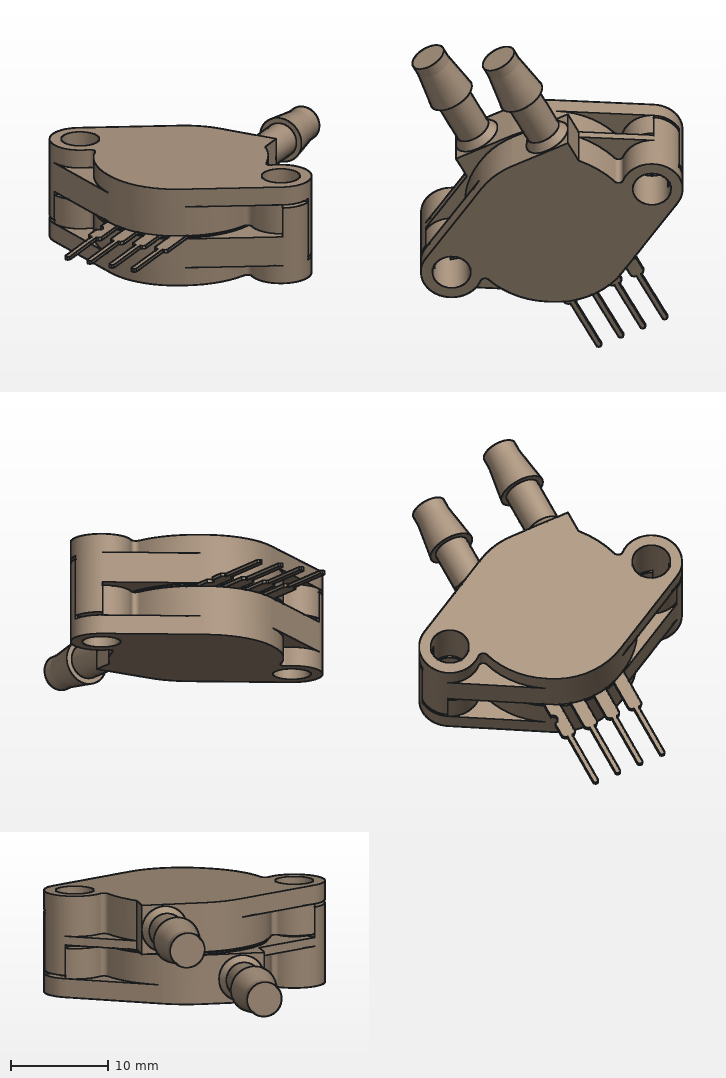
import cadquery as cq
import math


EAR_X = 11.55
EAR_RADIUS = 3.17
HOLE_RADIUS = 1.97
FLANK_ANGLE = 30.0
CROWN_RADIUS = 8.1
NECK_FILLET = 0.5

HEIGHT = 10.67
GAP = 0.35
FLANGE_THICKNESS = 1.97
WEB_THICKNESS = 0.93
SEAM_DISC_RADIUS = 8.65

PORT_X = 4.05
PORT_BLOCK_X = 6.45
BLOCK_WALL_RADIUS = 10.83
PORT_RADIUS = 1.8
PORT_FOOT_RADIUS = 2.4
PORT_BARB_RADIUS = 2.4
PORT_FOOT_LENGTH = 0.9
PORT_BARB_START = 5.8
PORT_BARB_END = 9.95
PORT_LENGTH = 11.1

PIN_PITCH = 2.54
PIN_COUNT = 4
PIN_WIDTH = 1.47
PIN_TIP_WIDTH = 0.55
PIN_INNER_Y = -6.2
PIN_SHOULDER_Y = -12.0
PIN_NECK_Y = -12.25
PIN_TIP_Y = -18.5
PIN_SHOULDER_CHAMFER = 0.27
PIN_TIP_CHAMFER = 0.15
PIN_NOTCH_Y = -9.8
PIN_NOTCH_RADIUS = 0.5

flank_normal = (math.sin(math.radians(FLANK_ANGLE)), math.cos(math.radians(FLANK_ANGLE)))
core_radius = EAR_X * flank_normal[0] + EAR_RADIUS
crown_centre_y = (core_radius - CROWN_RADIUS) / flank_normal[1]
crown_y = crown_centre_y + CROWN_RADIUS
half_top = HEIGHT / 2
half_bottom = GAP / 2
half_height = half_top - half_bottom
ledge_z = half_top - FLANGE_THICKNESS
wedge_tip_z = GAP - ledge_z
port_z = (half_top + half_bottom) / 2
pin_positions = [(i - (PIN_COUNT - 1) / 2) * PIN_PITCH for i in range(PIN_COUNT)]


def along(start, direction, distance):
    """Point at a distance from a start point along a unit direction."""
    return (start[0] + distance * direction[0], start[1] + distance * direction[1])


def between(start, end, distance):
    """Point at a distance from start on the line towards end."""
    share = distance / math.dist(start, end)
    return (start[0] + share * (end[0] - start[0]), start[1] + share * (end[1] - start[1]))


def middle(start, end):
    """Point halfway between two points."""
    return ((start[0] + end[0]) / 2, (start[1] + end[1]) / 2)


ear_corner = along((EAR_X, 0), flank_normal, EAR_RADIUS)
crown_corner = along((0, crown_centre_y), flank_normal, CROWN_RADIUS)
core_corner = along((0, 0), flank_normal, core_radius)
block_corner = (PORT_BLOCK_X, (core_radius - PORT_BLOCK_X * flank_normal[0]) / flank_normal[1])


def plate():
    """Outline without the ears: two crowns joined by straight flanks to the ear corners."""
    ear_x, ear_y = ear_corner
    crown_x, crown_corner_y = crown_corner
    return (
        cq.Workplane("XY", origin=(0, 0, half_bottom))
        .moveTo(ear_x, -ear_y)
        .lineTo(ear_x, ear_y)
        .lineTo(crown_x, crown_corner_y)
        .threePointArc((0, crown_y), (-crown_x, crown_corner_y))
        .lineTo(-ear_x, ear_y)
        .lineTo(-ear_x, -ear_y)
        .lineTo(-crown_x, -crown_corner_y)
        .threePointArc((0, -crown_y), (crown_x, -crown_corner_y))
        .close()
        .extrude(half_height)
    )


def circle_meeting(first, first_radius, second, second_radius):
    """Point where two circles cross, on the left of the line from the first centre to the second."""
    distance = math.dist(first, second)
    forward = (first_radius**2 - second_radius**2 + distance**2) / (2 * distance)
    sideways = math.sqrt(first_radius**2 - forward**2)
    along_x = (second[0] - first[0]) / distance
    along_y = (second[1] - first[1]) / distance
    return (
        first[0] + forward * along_x - sideways * along_y,
        first[1] + forward * along_y + sideways * along_x,
    )


def pocket(x_side, y_side, z_from, z_to, wall_start, wall_radius):
    """Cutter for the pocket beside an ear, in one quadrant; the ear itself is added later.

    Its curved wall runs from a point on the flank to the neck, with a fillet towards the ear.
    """
    ear_centre = (EAR_X, 0)
    neck = circle_meeting((0, 0), core_radius, ear_centre, EAR_RADIUS)
    wall_centre = circle_meeting(neck, wall_radius, wall_start, wall_radius)
    ear_reach = EAR_RADIUS + NECK_FILLET
    fillet = circle_meeting(wall_centre, wall_radius + NECK_FILLET, ear_centre, ear_reach)

    wall_end = between(wall_centre, fillet, wall_radius)
    wall_middle = between(wall_centre, middle(wall_start, wall_end), wall_radius)
    ear_start = between(ear_centre, fillet, EAR_RADIUS)
    fillet_middle = between(fillet, middle(wall_end, ear_start), NECK_FILLET)

    def placed(point):
        return (x_side * point[0], y_side * point[1])

    return (
        cq.Workplane("XY", origin=(0, 0, z_from))
        .moveTo(*placed(wall_start))
        .threePointArc(placed(wall_middle), placed(wall_end))
        .threePointArc(placed(fillet_middle), placed(ear_start))
        .lineTo(*placed(ear_centre))
        .lineTo(*placed(along(ear_centre, flank_normal, ear_reach)))
        .lineTo(*placed(along(wall_start, flank_normal, NECK_FILLET)))
        .close()
        .extrude(z_to - z_from)
    )


def ear_wedge(x_side, y_side, z_from, z_to):
    """Wedge from the ear centre, between its outermost point and its flank corner."""
    reach = 2 * EAR_RADIUS
    flank_end = along((EAR_X, 0), flank_normal, reach)
    return (
        cq.Workplane("XY", origin=(0, 0, z_from))
        .polyline([
            (x_side * EAR_X, 0),
            (x_side * (EAR_X + reach), 0),
            (x_side * flank_end[0], y_side * flank_end[1]),
        ])
        .close()
        .extrude(z_to - z_from)
    )


def ear(side):
    """Ear of one half, with one wedge of it reaching into the other half."""
    blank = (
        cq.Workplane("XY", origin=(side * EAR_X, 0, wedge_tip_z))
        .circle(EAR_RADIUS)
        .extrude(half_top - wedge_tip_z)
    )
    surplus = (
        cq.Workplane("XY", origin=(side * EAR_X, 0, wedge_tip_z))
        .circle(2 * EAR_RADIUS)
        .extrude(half_bottom - wedge_tip_z)
        .cut(ear_wedge(side, side, wedge_tip_z, half_bottom))
    )
    return blank.cut(surplus)


def port():
    """Solid hose port with a conical foot and a barb, standing on the block face."""
    return (
        cq.Workplane("YZ", origin=(PORT_X, crown_y, port_z))
        .polyline([
            (0, 0),
            (0, PORT_FOOT_RADIUS),
            (PORT_FOOT_LENGTH, PORT_RADIUS),
            (PORT_BARB_START, PORT_RADIUS),
            (PORT_BARB_START, PORT_BARB_RADIUS),
            (PORT_BARB_END, PORT_RADIUS),
            (PORT_LENGTH, PORT_RADIUS),
            (PORT_LENGTH, 0),
        ])
        .close()
        .revolve(360, (0, 0), (1, 0))
    )


def housing_half():
    """Upper half; the lower one is the same shape turned half a turn about Y."""
    half = plate()

    half = half.cut(pocket(-1, -1, ledge_z, half_top, core_corner, core_radius))
    half = half.cut(pocket(1, -1, half_bottom, ledge_z, core_corner, core_radius))
    half = half.cut(pocket(-1, 1, half_bottom, ledge_z, core_corner, core_radius))
    web_top = half_bottom + WEB_THICKNESS
    half = half.cut(pocket(1, 1, web_top, half_top, block_corner, BLOCK_WALL_RADIUS))

    for side in (-1, 1):
        half = half.union(ear(side))
        half = half.cut(ear_wedge(side, -side, half_bottom, ledge_z))
    holes = cq.Workplane("XY", origin=(0, 0, -half_top)).pushPoints([(-EAR_X, 0), (EAR_X, 0)])
    half = half.cut(holes.circle(HOLE_RADIUS).extrude(HEIGHT))

    block = cq.Workplane("XY", origin=(0, 0, half_bottom)).rect(PORT_BLOCK_X, crown_y, centered=False)
    half = half.union(block.extrude(half_height))
    half = half.union(port())

    half = half.union(cq.Workplane("XY").circle(SEAM_DISC_RADIUS).extrude(half_bottom))
    seat_length = PIN_INNER_Y + crown_y
    for x in pin_positions:
        seat = cq.Workplane("XY").center(x, PIN_INNER_Y - seat_length / 2).rect(PIN_WIDTH, seat_length)
        half = half.cut(seat.extrude(half_bottom))
    return half


def pin(x):
    """Flat lead pin: wide blade, chamfered shoulders and a narrow pointed tip."""
    blade = PIN_WIDTH / 2
    tip = PIN_TIP_WIDTH / 2
    right_side = [
        (blade, PIN_INNER_Y),
        (blade, PIN_SHOULDER_Y),
        (blade - PIN_SHOULDER_CHAMFER, PIN_NECK_Y),
        (tip, PIN_NECK_Y),
        (tip, PIN_TIP_Y + PIN_TIP_CHAMFER),
        (tip - PIN_TIP_CHAMFER, PIN_TIP_Y),
    ]
    left_side = [(-px, py) for px, py in reversed(right_side)]
    return (
        cq.Workplane("XY", origin=(x, 0, -GAP / 2))
        .polyline(right_side + left_side)
        .close()
        .extrude(GAP)
    )


def notched_pin(x):
    """First pin, marked by a round notch in its outer edge."""
    notch = (
        cq.Workplane("XY", origin=(x - PIN_WIDTH / 2, PIN_NOTCH_Y, -GAP / 2))
        .circle(PIN_NOTCH_RADIUS)
        .extrude(GAP)
    )
    return pin(x).cut(notch)


upper_housing = housing_half()
lower_housing = upper_housing.rotate((0, 0, 0), (0, 1, 0), 180)
first_pin = notched_pin(pin_positions[0])
other_pins = [pin(x) for x in pin_positions[1:]]

result = cq.Compound.makeCompound([
    upper_housing.val(),
    lower_housing.val(),
    first_pin.val(),
    *[plain_pin.val() for plain_pin in other_pins],
])